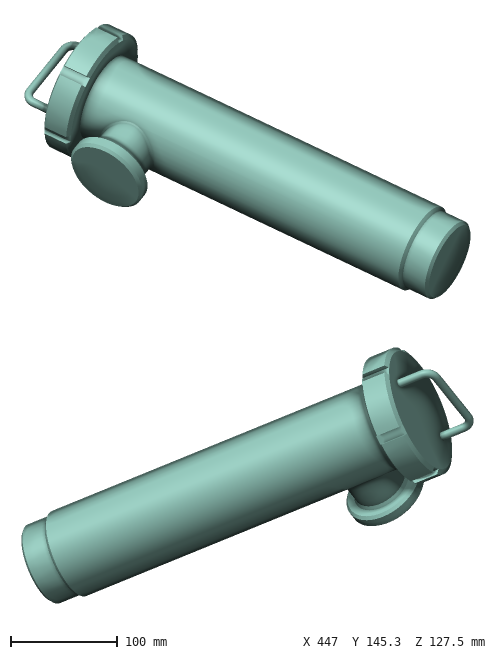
import cadquery as cq

total_length = 447
total_width = 145.5

nut_start = 38.0
nut_end = 67
nut_diameter = 127.5
nut_radius = nut_diameter / 2
nut_rim_height = 4.5
nut_face_radius = nut_radius - nut_rim_height
nut_chamfer_length = 2.5
slot_count = 6
slot_width = 9.5

pipe_radius = 43.0
pipe_end = 417.0
thread_radius = 39.8
thread_start = pipe_end + pipe_radius - thread_radius
thread_chamfer = 2.5

nozzle_x = 119.0
nozzle_reach = total_width - nut_radius
nozzle_radius = 27.3
nozzle_root_fillet = 2.2
flange_radius = 39.5
flange_thickness = 14.5
flange_chamfer = 2.5
collar_radius = 29.5
collar_length = 3.0

rod_radius = 4.0
leg_spacing = 80.0
bend_radius = 10.5


def make_body():
    """Pipe stepping down through a cone to the threaded end."""
    profile = (
        cq.Workplane("XY")
        .moveTo(nut_start, 0)
        .lineTo(nut_start, pipe_radius)
        .lineTo(pipe_end, pipe_radius)
        .lineTo(thread_start, thread_radius)
        .lineTo(total_length - thread_chamfer, thread_radius)
        .lineTo(total_length, thread_radius - thread_chamfer)
        .lineTo(total_length, 0)
        .close()
    )
    return profile.revolve(360, (0, 0, 0), (1, 0, 0))


def make_nozzle():
    """Branch tube, flared collar and closed flange, starting at the pipe axis."""
    flange_back = nozzle_reach - flange_thickness
    collar_start = flange_back - collar_length
    profile = (
        cq.Workplane("XY")
        .moveTo(0, 0)
        .lineTo(nozzle_radius, 0)
        .lineTo(nozzle_radius, -collar_start)
        .lineTo(collar_radius, -flange_back)
        .lineTo(flange_radius - flange_chamfer, -flange_back)
        .lineTo(flange_radius, -flange_back - flange_chamfer)
        .lineTo(flange_radius, -nozzle_reach + flange_chamfer)
        .lineTo(flange_radius - flange_chamfer, -nozzle_reach)
        .lineTo(0, -nozzle_reach)
        .close()
    )
    nozzle = profile.revolve(360, (0, 0, 0), (0, 1, 0))
    return nozzle.translate((nozzle_x, 0, 0))


def fillet_nozzle_root(body):
    """Round the curved seam where the nozzle leaves the pipe."""
    seam_zone = cq.selectors.BoxSelector(
        (nozzle_x - nozzle_radius, -pipe_radius, -nozzle_radius),
        (nozzle_x + nozzle_radius, 0, nozzle_radius),
    )
    return body.edges(seam_zone).fillet(nozzle_root_fillet)


def make_nut():
    """Ring nut, chamfered on both rims, with spanner slots around its edge."""
    profile = (
        cq.Workplane("XY")
        .moveTo(nut_start, 0)
        .lineTo(nut_start, nut_face_radius)
        .lineTo(nut_start + nut_chamfer_length, nut_radius)
        .lineTo(nut_end - nut_chamfer_length, nut_radius)
        .lineTo(nut_end, nut_face_radius)
        .lineTo(nut_end, 0)
        .close()
    )
    nut = profile.revolve(360, (0, 0, 0), (1, 0, 0))
    slot_box_depth = 2 * (nut_radius - nut_face_radius)
    slot = cq.Workplane("XY").box(
        nut_end - nut_start, slot_box_depth, slot_width, centered=(False, False, True)
    ).translate((nut_start, nut_face_radius, 0))
    for i in range(slot_count):
        nut = nut.cut(slot.rotate((0, 0, 0), (1, 0, 0), i * 360 / slot_count))
    return nut


def make_handle():
    """Round rod bent into a U, with its legs ending inside the nut."""
    rod_x = rod_radius
    leg_y = leg_spacing / 2
    leg_end = (nut_start + nut_end) / 2
    path = (
        cq.Workplane("XY")
        .moveTo(leg_end, leg_y)
        .lineTo(rod_x + bend_radius, leg_y)
        .tangentArcPoint((-bend_radius, -bend_radius))
        .lineTo(rod_x, bend_radius - leg_y)
        .tangentArcPoint((bend_radius, -bend_radius))
        .lineTo(leg_end, -leg_y)
    )
    return cq.Workplane("YZ", origin=(leg_end, leg_y, 0)).circle(rod_radius).sweep(path)


piping = fillet_nozzle_root(make_body().union(make_nozzle()))
result = piping.union(make_nut()).union(make_handle())